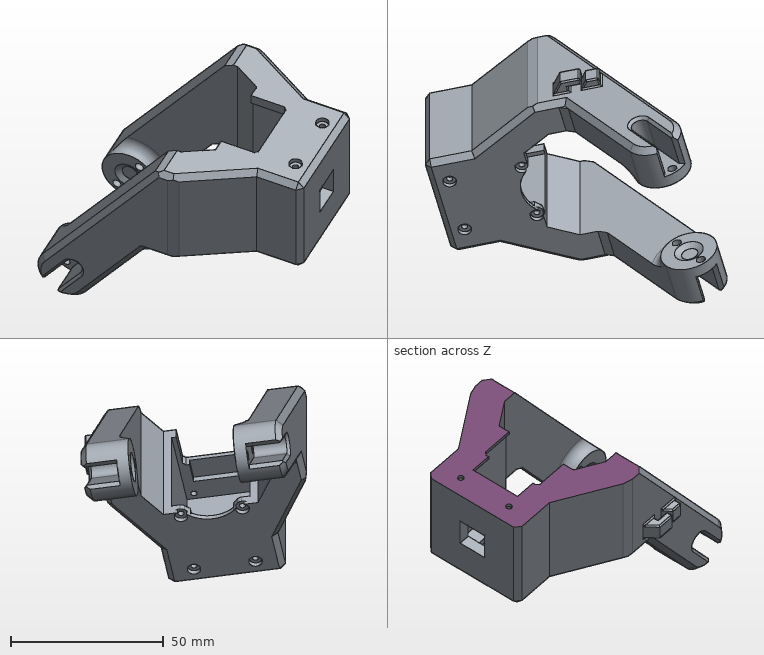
import cadquery as cq
import math


arm_radius = 9.5
arm_angle = math.radians(54.5)
rear_x = 80.35
top_z = 64.42
body_height = 39.1
bottom_z = top_z - body_height
edge_chamfer = 2.0
edge_tolerance = 0.01

outer_half_width = 33.5
inner_half_width = 21.5
rear_half_width = 19.45
flare_slope = math.tan(math.radians(30.6))
outer_bend_x = 40.4
inner_bend_x = 37.75
front_face_x = 47.45

boss_face_y = 17.5
boss_height = inner_half_width - boss_face_y
pin_pitch_radius = 7.0
pin_diameter = 3.0
slot_width = 6.0
slot_chamfer = 1.0
slot_flare_start = -7.0
slot_flare_run = 2.5
slot_flare_rise = 2.2
recess_mouth_diameter = 9.7
recess_floor_diameter = 5.5
recess_depth = 1.25

pocket_height = 32.0
plate_thickness = (body_height - pocket_height) / 2
rear_wall = 4.1
pocket_width = 26.0
window_size = 10.3
pocket_end_x = rear_x - rear_wall
relief_depth = 2.0
floor_relief_width = 14.4
roof_relief_width = 18.8
roof_relief_length = 21.0
roof_opening_width = 23.0
roof_opening_length = 13.1
roof_opening_chamfer = 1.0
cutout_depth = 4.75

screw_spacing_x = 24.4
screw_spacing_y = 20.5
screw_edge_distance = 2.05
screw_diameter = 2.0
screw_head_diameter = 4.4
screw_head_depth = 1.6

hook_center_z = 32.95
hook_width = 6.0
hook_chamfer = 0.5
hook_foot = 0.5
hook_slope_run = 0.75
post_height = 3.15
post_start_x = 17.1
post_top_length = 4.3
hook_height = 4.5
hook_tip_x = 23.1
hook_stem_x = 27.7
hook_top_end_x = 29.8
hook_gap = 1.9

along_arm = (math.cos(arm_angle), math.sin(arm_angle))
across_arm = (-math.sin(arm_angle), math.cos(arm_angle))


def arm_point(along, across):
    """XZ point at a distance along the arm and across it, measured from the pivot."""
    return (
        along * along_arm[0] + across * across_arm[0],
        along * along_arm[1] + across * across_arm[1],
    )


def arm_edge_at_height(across, z):
    """XZ point where a line parallel to the arm reaches height z."""
    return arm_point((z - across * across_arm[1]) / along_arm[1], across)


upper_bend = arm_edge_at_height(arm_radius, top_z)
lower_bend = arm_edge_at_height(-arm_radius, bottom_z)


def box(x0, x1, y0, y1, z0, z1):
    return cq.Workplane("XY").box(x1 - x0, y1 - y0, z1 - z0, centered=False).translate((x0, y0, z0))


def extrude_along_y(sketch, y0, y1):
    """Prism of an XZ outline between two Y positions."""
    return sketch.extrude(-(y1 - y0)).translate((0, y0, 0))


def y_cylinder(center, diameter, y0, y1):
    return extrude_along_y(cq.Workplane("XZ").center(*center).circle(diameter / 2), y0, y1)


def both_sides(solid):
    return solid.union(solid.mirror("XZ"))


def side_prism(half_width):
    """Side outline of arm and body, extruded symmetrically about Y = 0."""
    outline = (
        cq.Workplane("XZ")
        .moveTo(*arm_point(0, arm_radius))
        .lineTo(*upper_bend)
        .lineTo(rear_x, top_z)
        .lineTo(rear_x, bottom_z)
        .lineTo(*lower_bend)
        .lineTo(*arm_point(0, -arm_radius))
        .threePointArc(arm_point(-arm_radius, 0), arm_point(0, arm_radius))
        .close()
    )
    return extrude_along_y(outline, -half_width, half_width)


def plan_prism():
    """Forked plan outline, extruded over the full height."""
    rear_bend_x = outer_bend_x + (outer_half_width - rear_half_width) / flare_slope
    mouth_half_width = inner_half_width - (front_face_x - inner_bend_x) * flare_slope
    half = [
        (front_face_x, mouth_half_width),
        (inner_bend_x, inner_half_width),
        (-arm_radius, inner_half_width),
        (-arm_radius, outer_half_width),
        (outer_bend_x, outer_half_width),
        (rear_bend_x, rear_half_width),
        (rear_x, rear_half_width),
    ]
    mirrored = [(x, -y) for x, y in reversed(half)]
    outline = cq.Workplane("XY", origin=(0, 0, -arm_radius)).polyline(half + mirrored).close()
    return outline.extrude(top_z + arm_radius)


def is_rim_edge(edge):
    """Edges around the fork's outer side faces and rear face, without the convex bends."""
    bounds = edge.BoundingBox()
    lowest_width = min(abs(bounds.ymin), abs(bounds.ymax))
    is_upright = bounds.zmax - bounds.zmin > edge_tolerance and bounds.xmax - bounds.xmin < edge_tolerance
    on_rear_face = bounds.xmin > rear_x - edge_tolerance
    on_arm_side = lowest_width > outer_half_width - edge_tolerance
    on_body_side = (
        bounds.xmin > outer_bend_x - edge_tolerance and lowest_width > rear_half_width - edge_tolerance
    )
    return on_rear_face or ((on_arm_side or on_body_side) and not is_upright)


def is_convex_bend(edge):
    """Upright edges where the arms turn inward, and level edges where they meet the top."""
    center = edge.Center()
    bounds = edge.BoundingBox()
    lowest_width = min(abs(bounds.ymin), abs(bounds.ymax))
    is_upright = bounds.xmax - bounds.xmin < edge_tolerance
    is_side_bend = (
        is_upright
        and abs(center.x - outer_bend_x) < edge_tolerance
        and lowest_width > outer_half_width - edge_chamfer / 2
    )
    is_upper_bend = abs(center.x - upper_bend[0]) < edge_tolerance and abs(center.z - top_z) < edge_tolerance
    return is_side_bend or is_upper_bend


def chamfer_edges(solid, is_selected):
    edges = [edge for edge in solid.edges().vals() if is_selected(edge)]
    return solid.newObject(edges).chamfer(edge_chamfer)


def make_fork():
    fork = side_prism(outer_half_width).intersect(plan_prism())
    fork = chamfer_edges(fork, is_rim_edge)
    return chamfer_edges(fork, is_convex_bend)


def make_lower_bend_gusset():
    """Bevel that fills the inside corner between the arm and the underside of the body."""
    outline = cq.Workplane("XZ").polyline([
        lower_bend,
        (lower_bend[0] + edge_chamfer, lower_bend[1]),
        (lower_bend[0] - edge_chamfer * along_arm[0], lower_bend[1] - edge_chamfer * along_arm[1]),
    ]).close()
    return extrude_along_y(outline, inner_half_width, outer_half_width - edge_chamfer)


def make_boss():
    """Round pad inside the arm tip, flared into the arm and trimmed to the arm's width."""
    arc_shift = boss_height * (1 - math.sqrt(0.5))
    middle = (arm_radius + arc_shift, inner_half_width - arc_shift)
    pad = (
        cq.Workplane("XY")
        .moveTo(0, boss_face_y)
        .lineTo(arm_radius, boss_face_y)
        .threePointArc(middle, (arm_radius + boss_height, inner_half_width))
        .lineTo(0, inner_half_width)
        .close()
        .revolve(360, (0, 0, 0), (0, 1, 0))
    )
    return pad.intersect(side_prism(outer_half_width))


def slot_outline(radius):
    """Slot around the inner pin hole, flaring open at the arm tip."""
    tip = slot_flare_start - slot_flare_run
    tip_half_width = radius + slot_flare_rise
    return (
        cq.Workplane("XZ")
        .moveTo(*arm_point(tip, tip_half_width))
        .lineTo(*arm_point(slot_flare_start, radius))
        .lineTo(*arm_point(pin_pitch_radius, radius))
        .threePointArc(arm_point(pin_pitch_radius + radius, 0), arm_point(pin_pitch_radius, -radius))
        .lineTo(*arm_point(slot_flare_start, -radius))
        .lineTo(*arm_point(tip, -tip_half_width))
        .close()
    )


def make_tip_cuts():
    """Slot, pin holes and conical recess of one arm tip."""
    slot = extrude_along_y(slot_outline(slot_width / 2), inner_half_width, outer_half_width)
    mouth_radius = slot_width / 2 + slot_chamfer
    mouth = (
        slot_outline(mouth_radius)
        .extrude(slot_chamfer, taper=45)
        .translate((0, outer_half_width, 0))
    )
    recess = cq.Workplane("XY").polyline([
        (0, boss_face_y),
        (recess_mouth_diameter / 2, boss_face_y),
        (recess_floor_diameter / 2, boss_face_y + recess_depth),
        (0, boss_face_y + recess_depth),
    ]).close().revolve(360, (0, 0, 0), (0, 1, 0))
    cuts = slot.union(mouth).union(recess)
    for along in (-pin_pitch_radius, pin_pitch_radius):
        cuts = cuts.union(y_cylinder(arm_point(along, 0), pin_diameter, boss_face_y, outer_half_width))
    return cuts


def make_pocket():
    """Pocket with its reliefs, roof opening, rear window and rounded floor cutout."""
    floor_z = bottom_z + plate_thickness
    roof_z = top_z - plate_thickness
    middle_z = (bottom_z + top_z) / 2

    def pocket_box(x1, width, z0, z1):
        return box(front_face_x, x1, -width / 2, width / 2, z0, z1)

    opening_end = front_face_x + roof_opening_length
    opening = pocket_box(opening_end, roof_opening_width, roof_z, top_z)
    opening = opening.edges("|Z and >X").chamfer(roof_opening_chamfer)
    half_window = window_size / 2
    window = box(pocket_end_x, rear_x, -half_window, half_window,
                 middle_z - half_window, middle_z + half_window)
    return (
        pocket_box(pocket_end_x, pocket_width, floor_z, roof_z)
        .union(pocket_box(pocket_end_x, floor_relief_width, floor_z - relief_depth, floor_z))
        .union(pocket_box(front_face_x + roof_relief_length, roof_relief_width, roof_z, roof_z + relief_depth))
        .union(opening)
        .union(window)
        .union(make_floor_cutout())
    )


def make_floor_cutout():
    """Round bite out of the floor plate, leaving a lobe concentric with each front screw hole."""
    lobe_x = front_face_x + screw_edge_distance
    lobe_y = screw_spacing_y / 2

    def lobe_point(degrees):
        turn = math.radians(degrees)
        return (lobe_x - screw_edge_distance * math.cos(turn), lobe_y - screw_edge_distance * math.sin(turn))

    def flipped(point):
        return (point[0], -point[1])

    tangent = lobe_point(45)
    bite_y = floor_relief_width / 2
    bite = (tangent[0] + tangent[1] - bite_y, bite_y)
    return (
        cq.Workplane("XY", origin=(0, 0, bottom_z))
        .moveTo(*lobe_point(0))
        .threePointArc(lobe_point(22.5), tangent)
        .lineTo(*bite)
        .threePointArc((front_face_x + cutout_depth, 0), flipped(bite))
        .lineTo(*flipped(tangent))
        .threePointArc(flipped(lobe_point(22.5)), flipped(lobe_point(0)))
        .close()
        .extrude(plate_thickness)
    )


def make_screw_holes():
    """Through holes with head recesses sunk into the underside and the top."""
    front_x = front_face_x + screw_edge_distance
    front_row = [(front_x, sign * screw_spacing_y / 2) for sign in (-1, 1)]
    rear_row = [(x + screw_spacing_x, y) for x, y in front_row]
    head_z = top_z - screw_head_depth

    def cylinders(spots, diameter, z, height):
        plane = cq.Workplane("XY", origin=(0, 0, z))
        return plane.pushPoints(spots).circle(diameter / 2).extrude(height)

    return (
        cylinders(front_row, screw_diameter, bottom_z, plate_thickness)
        .union(cylinders(rear_row, screw_diameter, bottom_z, body_height))
        .union(cylinders(front_row + rear_row, screw_head_diameter, bottom_z, screw_head_depth))
        .union(cylinders(rear_row, screw_head_diameter, head_z, screw_head_depth))
    )


def make_hook(points, foot_x0, foot_x1):
    """Bevelled XY outline on the arm's outer face, standing on a splayed foot."""
    z0 = hook_center_z - hook_width / 2
    hook = cq.Workplane("XY", origin=(0, 0, z0)).polyline(points).close().extrude(hook_width)
    hook = hook.faces(">Y").edges("<X").chamfer(hook_chamfer)
    hook = hook.faces("<Z or >Z").edges("not <Y").chamfer(hook_chamfer)
    foot = (
        cq.Workplane("XZ", origin=((foot_x0 + foot_x1) / 2, outer_half_width, hook_center_z))
        .rect(foot_x1 - foot_x0 + 2 * hook_foot, hook_width + 2 * hook_foot)
        .extrude(-hook_foot, taper=45)
    )
    return hook.union(foot)


def make_hooks():
    base_y = outer_half_width
    post_top_x = post_start_x + post_top_length
    post_foot_x = post_top_x + hook_slope_run * post_height
    post = make_hook([
        (post_start_x, base_y),
        (post_start_x, base_y + post_height),
        (post_top_x, base_y + post_height),
        (post_foot_x, base_y),
    ], post_start_x, post_foot_x - hook_foot)
    hook_foot_x = hook_top_end_x + hook_slope_run * hook_height
    hook = make_hook([
        (hook_stem_x, base_y),
        (hook_stem_x, base_y + hook_gap),
        (hook_tip_x, base_y + hook_gap),
        (hook_tip_x, base_y + hook_height),
        (hook_top_end_x, base_y + hook_height),
        (hook_foot_x, base_y),
    ], hook_stem_x, hook_foot_x - hook_foot)
    return post.union(hook)


result = (
    make_fork()
    .union(both_sides(make_lower_bend_gusset()))
    .union(both_sides(make_boss()))
    .cut(both_sides(make_tip_cuts()))
    .cut(make_pocket())
    .cut(make_screw_holes())
    .union(make_hooks())
)